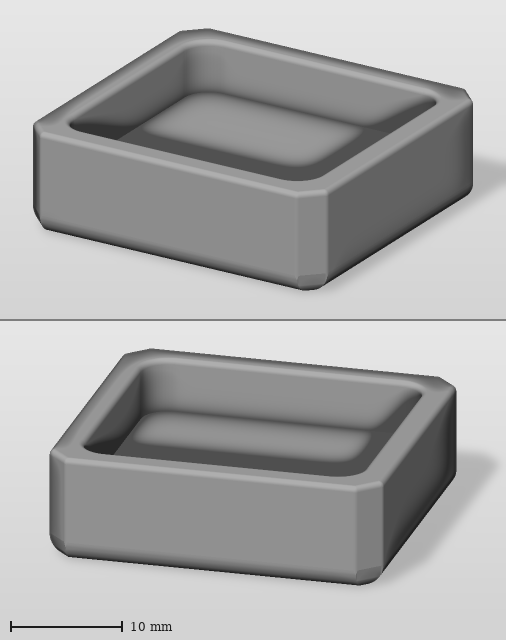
import cadquery as cq
import math

length = 31
width = 29.0
height = 10.0
corner_chamfer = 2.0
bottom_radius = corner_chamfer
edge_radius = 0.5

wall = 2.5
pocket_depth = 5.0
pocket_corner_radius = 2.5


def make_block():
    """Plain block standing on the XY plane."""
    return cq.Workplane("XY").box(length, width, height, centered=(True, True, False))


def make_diagonal_band(angle):
    """Band across two opposite corner chamfers, its lower ends rounded as quarter ellipses.

    The ellipses make each corner meet the rounded sides along an upright plane.
    """
    half_span = (length / 2 + width / 2 - corner_chamfer) / math.sqrt(2)
    ellipse_reach = bottom_radius / math.sqrt(2)
    half_base = half_span - ellipse_reach
    profile = (
        cq.Workplane("XZ", origin=(0, length, 0))
        .moveTo(half_base, 0)
        .ellipseArc(ellipse_reach, bottom_radius, 270, 360)
        .lineTo(half_span, height)
        .lineTo(-half_span, height)
        .lineTo(-half_span, bottom_radius)
        .ellipseArc(ellipse_reach, bottom_radius, 180, 270)
        .close()
    )
    return profile.extrude(2 * length).rotate((0, 0, 0), (0, 0, 1), angle)


def make_body():
    """Block with chamfered corners, softened edges and a rounded underside."""
    outline = make_block().edges("|Z").chamfer(corner_chamfer).edges("|Z").fillet(edge_radius)
    body = make_block().faces("<Z").edges().fillet(bottom_radius).intersect(outline)
    for angle in (45, -45):
        body = body.intersect(make_diagonal_band(angle))
    return body.faces(">Z").edges().fillet(edge_radius)


def make_pocket():
    """Rounded pocket volume, open at the top."""
    floor_height = height - pocket_depth
    pocket = (
        cq.Workplane("XY")
        .workplane(offset=floor_height)
        .rect(length - 2 * wall, width - 2 * wall)
        .extrude(pocket_depth)
    )
    return pocket.edges("|Z").fillet(pocket_corner_radius)


def round_pocket_rim(part):
    """Round the inner edge of the rim."""
    inner_rim = part.faces(">Z").wires(cq.selectors.LengthNthSelector(0))
    return part.newObject(inner_rim.vals()[0].Edges()).fillet(edge_radius)


result = round_pocket_rim(make_body().cut(make_pocket()))